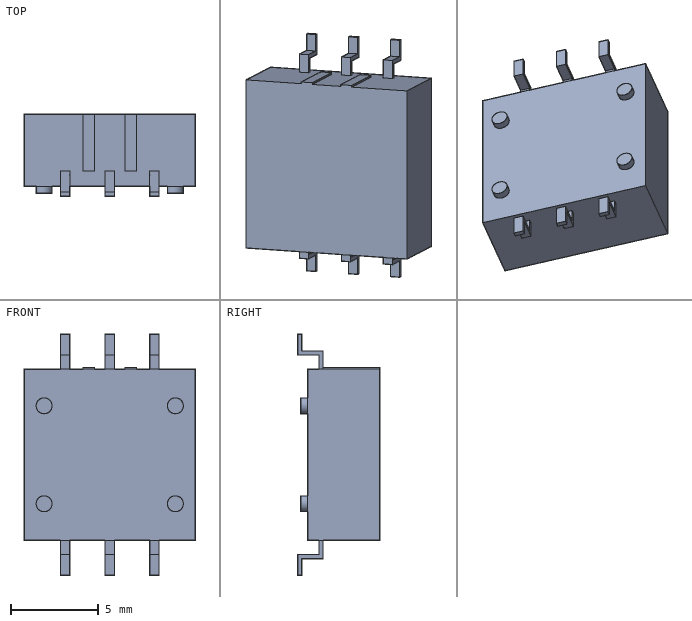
import cadquery as cq

body_side = 9.8
body_depth = 4.13
front_y = 0.0
back_y = front_y + body_depth

standoff_diameter = 0.91
standoff_height = 0.4
standoff_spacing_x = 7.51
standoff_spacing_z = 5.6

lead_count = 3
lead_pitch = 2.55
lead_width = 0.55
lead_thickness = 0.25
lead_tip_z = 6.9
foot_length = 1.2
foot_front_y = front_y - 0.58
lead_back_y = front_y + 0.88
lead_bend_z = lead_tip_z - foot_length + lead_thickness

strip_width = 0.68
strip_spacing = 2.4
strip_height = 0.1
strip_front_y = lead_back_y


def make_body():
    return cq.Workplane("XY").box(body_side, body_depth, body_side).translate(
        (0, front_y + body_depth / 2, 0)
    )


def make_standoffs():
    return (
        cq.Workplane("XZ", origin=(0, front_y, 0))
        .rarray(standoff_spacing_x, standoff_spacing_z, 2, 2)
        .circle(standoff_diameter / 2)
        .extrude(standoff_height)
    )


def make_lead(center_x):
    root_z = body_side / 2
    arm_bottom_z = lead_bend_z - lead_thickness
    profile = [
        (lead_back_y, root_z),
        (lead_back_y, lead_bend_z),
        (foot_front_y + lead_thickness, lead_bend_z),
        (foot_front_y + lead_thickness, lead_tip_z),
        (foot_front_y, lead_tip_z),
        (foot_front_y, arm_bottom_z),
        (lead_back_y - lead_thickness, arm_bottom_z),
        (lead_back_y - lead_thickness, root_z),
    ]
    return (
        cq.Workplane("YZ", origin=(center_x, 0, 0))
        .polyline(profile)
        .close()
        .extrude(lead_width / 2, both=True)
    )


def make_strip(center_x):
    strip_length = back_y - strip_front_y
    return cq.Workplane("XY").box(strip_width, strip_length, strip_height).translate(
        (center_x, strip_front_y + strip_length / 2, (body_side + strip_height) / 2)
    )


result = make_body().union(make_standoffs())

for index in range(lead_count):
    lead = make_lead((index - (lead_count - 1) / 2) * lead_pitch)
    result = result.union(lead).union(lead.mirror("XY"))

for side in (-1, 1):
    result = result.union(make_strip(side * strip_spacing / 2))